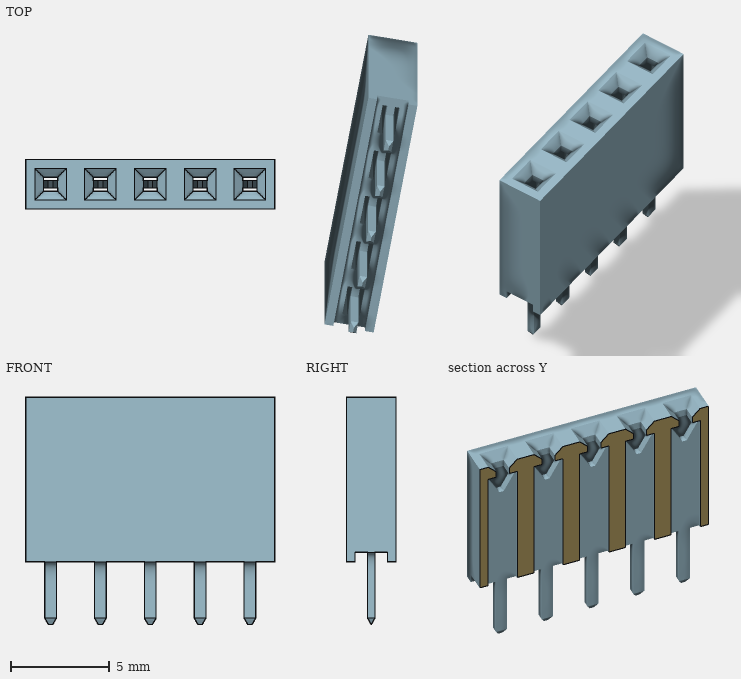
import cadquery as cq
import math


contact_count = 5
pitch = 2.54
housing_length = contact_count * pitch
housing_width = pitch
housing_height = 8.41
overall_height = 11.6

channel_width = 1.64
channel_depth = 0.5

funnel_size = 1.6
throat_size = 0.71
funnel_angle = 45.0
throat_depth = 0.4
funnel_depth = (funnel_size - throat_size) / 2 / math.tan(math.radians(funnel_angle))

cavity_length = funnel_size
cavity_width = 0.89

contact_thickness = 0.4
lead_in_floor = 0.24
lead_in_angle = 60.0
tail_width = 0.61
tip_height = 0.33
tip_taper = 30.0

throat_top = housing_height - funnel_depth
cavity_top = throat_top - throat_depth
tail_bottom = housing_height - overall_height
tip_start = tail_bottom + tip_height

lead_in_rise = (cavity_length - lead_in_floor) / 2 * math.tan(math.radians(lead_in_angle))
lead_in_bottom = cavity_top - lead_in_rise


def block(length, width, bottom, top):
    """Box centred on the Z axis between two levels."""
    return (
        cq.Workplane("XY")
        .workplane(offset=bottom)
        .rect(length, width)
        .extrude(top - bottom)
    )


def make_housing():
    """Rectangular housing with the channel cut along its underside."""
    housing = block(housing_length, housing_width, 0, housing_height)
    channel = block(housing_length, channel_width, 0, channel_depth)
    return housing.cut(channel)


def make_socket():
    """Empty space of one socket: funnel, throat and cavity down to the channel."""
    funnel = (
        cq.Workplane("XY")
        .workplane(offset=housing_height)
        .rect(funnel_size, funnel_size)
        .extrude(-funnel_depth, taper=funnel_angle)
    )
    throat = block(throat_size, throat_size, cavity_top, throat_top)
    cavity = block(cavity_length, cavity_width, channel_depth, cavity_top)
    return funnel.union(throat).union(cavity)


def make_contact():
    """Plate gripped by the cavity ends, with its V lead-in, tail and tapered tip."""
    plate = (
        cq.Workplane("XZ")
        .moveTo(-cavity_length / 2, channel_depth)
        .lineTo(cavity_length / 2, channel_depth)
        .lineTo(cavity_length / 2, cavity_top)
        .lineTo(lead_in_floor / 2, lead_in_bottom)
        .lineTo(-lead_in_floor / 2, lead_in_bottom)
        .lineTo(-cavity_length / 2, cavity_top)
        .close()
        .extrude(contact_thickness / 2, both=True)
    )
    tail = block(tail_width, contact_thickness, tip_start, channel_depth)
    tip = (
        cq.Workplane("XY")
        .workplane(offset=tip_start)
        .rect(tail_width, contact_thickness)
        .extrude(-tip_height, taper=tip_taper)
    )
    return plate.union(tail).union(tip)


socket = make_socket()
contact = make_contact()

result = make_housing()
for index in range(contact_count):
    position = ((index - (contact_count - 1) / 2) * pitch, 0, 0)
    result = result.cut(socket.translate(position))
    result = result.union(contact.translate(position))